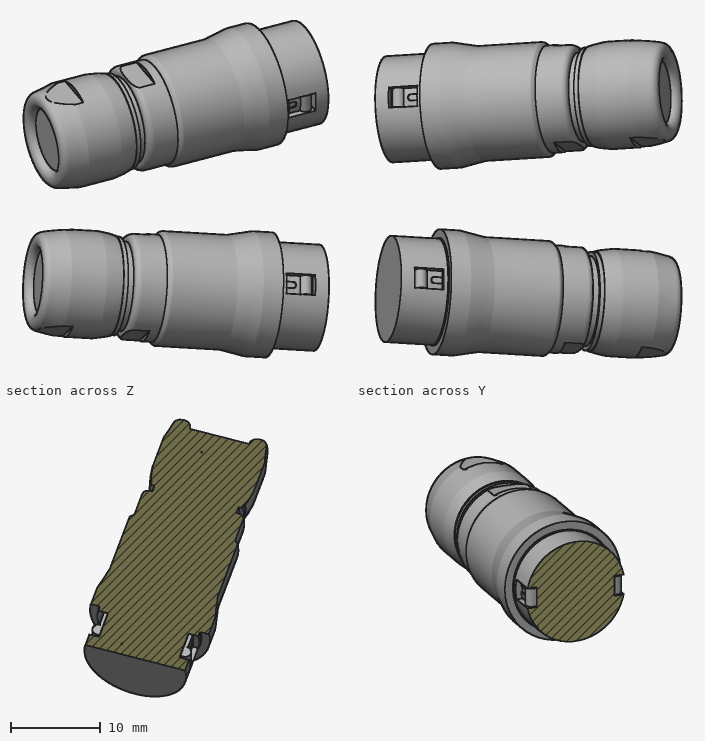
import cadquery as cq
import math

length = 32.5

tail_radius = 5.95
collar_diameter = 14.0
collar_radius = collar_diameter / 2
lip_radius = 6.05
barrel_radius = 6.45
neck_radius = 6.0
nut_radius = neck_radius
groove_radius = 5.05
ring_radius = 5.52
nut_rear_radius = 5.62
nut_front_radius = 5.55
rim_outer_radius = 4.7
rim_inner_radius = 4.55
recess_radius = 3.6

rim_round_end = 0.7
nut_taper_end = 2.95
nut_flat_end = 3.95
nut_arc_start = 7.0
nut_rear = 9.05
ring_rear = 9.55
neck_front = 10.3
neck_flat_end = 12.77
barrel_front = 13.9
barrel_taper_start = 21.87
collar_front = 24.73
collar_rear = 27.0
lip_rear = 27.15

neck_round = 0.7
barrel_edge_round = 0.4

rim_bulge = 0.2
nut_bulge = 0.05

flat_height = 5.52

window_front = 27.62
window_rear = 30.95
window_half_width = 1.17
window_floor = 4.7
latch_half_width = 1.07
latch_radius = 5.3
latch_end_gap = 0.23
latch_crest = 5.75
catch_front = 29.35
latch_slot_width = 0.7
latch_slot_end = 28.85
latch_slot_depth = 0.15
latch_slot_round = 0.32


def turned_body():
    """Everything that is round about the Y axis."""
    chamfer_angle = math.radians(45)
    barrel_edge = barrel_front + barrel_radius - neck_radius
    edge_trim = barrel_edge_round * math.tan(chamfer_angle / 2)
    recess_depth = rim_inner_radius - recess_radius
    profile = (
        cq.Workplane("YZ")
        .moveTo(recess_depth, 0)
        .lineTo(recess_depth, recess_radius)
        .radiusArc((0, rim_inner_radius), recess_depth)
        .lineTo(0, rim_outer_radius)
        .sagittaArc((rim_round_end, nut_front_radius), rim_bulge)
        .lineTo(nut_taper_end, nut_radius)
        .lineTo(nut_arc_start, nut_radius)
        .sagittaArc((nut_rear, nut_rear_radius), nut_bulge)
        .lineTo(nut_rear, ring_radius)
        .lineTo(ring_rear, ring_radius)
        .lineTo(ring_rear, groove_radius)
        .lineTo(neck_front, groove_radius)
        .lineTo(neck_front, neck_radius - neck_round)
        .radiusArc((neck_front + neck_round, neck_radius), neck_round)
        .lineTo(barrel_front, neck_radius)
        .lineTo(
            barrel_edge - edge_trim * math.cos(chamfer_angle),
            barrel_radius - edge_trim * math.sin(chamfer_angle),
        )
        .radiusArc((barrel_edge + edge_trim, barrel_radius), barrel_edge_round)
        .lineTo(barrel_taper_start, barrel_radius)
        .lineTo(collar_front, collar_radius)
        .lineTo(collar_rear, collar_radius)
        .lineTo(collar_rear, lip_radius)
        .lineTo(lip_rear, tail_radius)
        .lineTo(length, tail_radius)
        .lineTo(length, 0)
        .close()
    )
    return profile.revolve(360, (0, 0, 0), (1, 0, 0))


def flat_cutter(front, rear, side):
    """Block that leaves a wrench flat above or below the axis."""
    depth = collar_radius - flat_height
    middle_height = side * (flat_height + depth / 2)
    block = cq.Workplane("XY").box(2 * collar_radius, rear - front, depth)
    return block.translate((0, (front + rear) / 2, middle_height))


def side_block(inner, outer, front, rear, half_width):
    """Box on the +X side between two distances from the axis."""
    block = cq.Workplane("XY").box(outer - inner, rear - front, 2 * half_width)
    return block.translate(((inner + outer) / 2, (front + rear) / 2, 0))


def latch():
    """Sprung tongue in the +X window with a rounded catch at its free end."""
    catch_y = (window_rear - latch_end_gap + catch_front) / 2
    catch_round = catch_y - catch_front
    catch = (
        cq.Workplane("XY")
        .moveTo(window_floor, catch_front)
        .lineTo(latch_crest - catch_round, catch_front)
        .radiusArc((latch_crest, catch_y), -catch_round)
        .radiusArc((latch_crest - catch_round, catch_y + catch_round), -catch_round)
        .lineTo(window_floor, catch_y + catch_round)
        .close()
        .extrude(latch_half_width, both=True)
    )
    tongue = side_block(window_floor, tail_radius, window_front, catch_front, latch_half_width)
    shaft = cq.Workplane("XZ").circle(latch_radius).extrude(-length)
    slot_length = latch_slot_end - window_front
    slot = (
        cq.Workplane("YZ")
        .workplane(offset=latch_radius - latch_slot_depth)
        .rect(2 * slot_length, latch_slot_width)
        .extrude(tail_radius)
        .edges("|X and >Y")
        .fillet(latch_slot_round)
        .translate((0, window_front, 0))
    )
    return tongue.intersect(shaft).cut(slot).union(catch)


result = turned_body()

for side in (1, -1):
    result = result.cut(flat_cutter(0, nut_flat_end, side))
    result = result.cut(flat_cutter(neck_front, neck_flat_end, side))

window = side_block(window_floor, collar_radius, window_front, window_rear, window_half_width)
for turn in (0, 180):
    result = result.cut(window.rotate((0, 0, 0), (0, 1, 0), turn))
    result = result.union(latch().rotate((0, 0, 0), (0, 1, 0), turn))